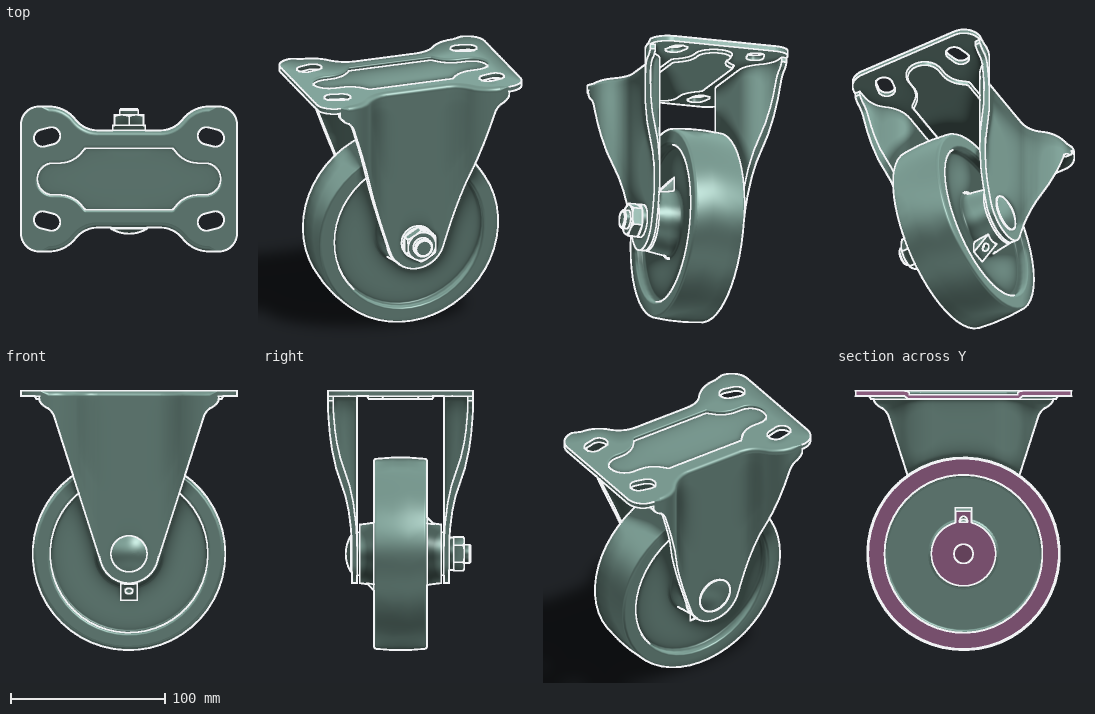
import cadquery as cq
import math


PLATE_LENGTH = 140.0
PLATE_WIDTH = 94.0
SHEET = 3.5
PLATE_CORNER_RADIUS = 12.0
BEND_RADIUS = SHEET
BEND_END_RADIUS = 0.1

LEG_HALF_LENGTH = PLATE_LENGTH / 2 - PLATE_CORNER_RADIUS
WAVE_OUTER_X = 52.0
WAVE_INFLECTION_X = 34.6
WAVE_INNER_X = 20.4
WAIST_Y = 31.5
EDGE_Y = PLATE_WIDTH / 2

LEG_TIP_RADIUS = 19.0
LEG_SHOULDER = (LEG_HALF_LENGTH, -6.5)
LEG_SHOULDER_MID = (56.1, -9.0)
LEG_SHOULDER_END = (52.4, -11.4)
LEG_NOTCH_MID = (49.9, -13.9)
LEG_FLANK_TOP = (48.2, -17.5)

SLOT_X = 53.0
SLOT_Y = 27.2
SLOT_WIDTH = 11.0
SLOT_LENGTH = 17.0
SLOT_TILT = 14.0

PANEL_HALF_LENGTH = 61.0
PANEL_HALF_WIDTH = 21.7
PANEL_END_RADIUS = 12.0
PANEL_NECK_X = 44.6
PANEL_NECK_RADIUS = 16.0
PANEL_NECK_ANGLE = 50.0
PANEL_CORNER_RADIUS = 2.8
PANEL_RIM_RADIUS = 1.7
PANEL_DEPTH = 2.5
PANEL_RAISED_HEIGHT = 2.0
PANEL_TAPER = 30.0

WHEEL_RADIUS = 62.5
TOTAL_HEIGHT = 168.0
AXLE_Z = WHEEL_RADIUS - TOTAL_HEIGHT
TREAD_HALF_WIDTH = 17.25
TREAD_SHOULDER_RADIUS = 61.6
TREAD_ROUNDING = 2.0
RIM_RADIUS = 51.0
RIM_ROUNDING = 2.0
WEB_FILLET = 2.0
WEB_HALF_THICKNESS = 11.0
HUB_TIP_RADIUS = 19.0
HUB_ROOT_RADIUS = 21.0
HUB_HALF_LENGTH = 26.5
BEARING_RADIUS = 14.0
BEARING_HALF_LENGTH = WAIST_Y - SHEET

LUG_WIDTH = 10.4
LUG_RAMP_SUM = 40.9
LUG_HOLE_DIAMETER = 5.0
LUG_HOLE_DEPTH = 5.0
LUG_HOLE_DROP = 24.1

AXLE_RADIUS = 6.0
HEAD_RADIUS = 11.7
HEAD_RIM = 0.7
HEAD_TIP_Y = -35.5
WASHER_RADIUS = 10.6
WASHER_THICKNESS = 3.1
NUT_ACROSS_FLATS = 19.0
NUT_THICKNESS = 6.8
NUT_CHAMFER_LENGTH = 0.8
NUT_CHAMFER_DEPTH = 1.4
AXLE_END_Y = 45.3
AXLE_END_CHAMFER = 0.8


def mirror_copy(body, plane):
    """The body joined to its mirror image."""
    return body.union(body.mirror(plane))


def axle_bore():
    """Cylinder that clears the axle through the bracket and the wheel."""
    return (
        cq.Workplane("XZ", origin=(0, 0, AXLE_Z))
        .circle(AXLE_RADIUS)
        .extrude(PLATE_WIDTH, both=True)
    )




def half_wave(inset=0.0):
    """Open plan path of half the +Y waisted edge, from X = 0 outwards, moved in by inset."""
    chord_angle = math.atan2(EDGE_Y - WAIST_Y, WAVE_OUTER_X - WAVE_INNER_X)
    inflection_y = WAIST_Y + (WAVE_INFLECTION_X - WAVE_INNER_X) * math.tan(chord_angle)
    inflection = (
        WAVE_INFLECTION_X + inset * math.sin(2 * chord_angle),
        inflection_y - inset * math.cos(2 * chord_angle),
    )
    return (
        cq.Workplane("XY")
        .moveTo(0, WAIST_Y - inset)
        .lineTo(WAVE_INNER_X, WAIST_Y - inset)
        .tangentArcPoint(inflection, relative=False)
        .tangentArcPoint((WAVE_OUTER_X, EDGE_Y - inset), relative=False)
    )


def waisted_block(height, inset=0.0):
    """Block hanging below Z = 0 from the X axis to the waisted edge."""
    return (
        half_wave(inset)
        .lineTo(LEG_HALF_LENGTH, EDGE_Y - inset)
        .lineTo(LEG_HALF_LENGTH, 0)
        .lineTo(0, 0)
        .mirrorY()
        .extrude(-height)
    )


def flat_plate():
    blank = (
        cq.Workplane("XY")
        .rect(PLATE_LENGTH, PLATE_WIDTH)
        .extrude(-SHEET)
        .edges("|Z")
        .fillet(PLATE_CORNER_RADIUS)
    )
    middle = cq.Workplane("XY").rect(2 * LEG_HALF_LENGTH, PLATE_WIDTH).extrude(-SHEET)
    waist = mirror_copy(waisted_block(SHEET), "XZ")
    return blank.cut(middle.cut(waist))


def leg_outline():
    """Tapering side outline of the legs, as a prism reaching through both of them."""
    flank_x, flank_z = LEG_FLANK_TOP
    flank_height = flank_z - AXLE_Z
    flank_distance = math.hypot(flank_x, flank_height)
    tangent_angle = math.atan2(flank_height, flank_x) - math.acos(LEG_TIP_RADIUS / flank_distance)
    tangent_point = (
        LEG_TIP_RADIUS * math.cos(tangent_angle),
        AXLE_Z + LEG_TIP_RADIUS * math.sin(tangent_angle),
    )
    return (
        cq.Workplane("XZ")
        .moveTo(0, 0)
        .lineTo(LEG_HALF_LENGTH, 0)
        .lineTo(*LEG_SHOULDER)
        .threePointArc(LEG_SHOULDER_MID, LEG_SHOULDER_END)
        .threePointArc(LEG_NOTCH_MID, LEG_FLANK_TOP)
        .lineTo(*tangent_point)
        .tangentArcPoint((0, AXLE_Z - LEG_TIP_RADIUS), relative=False)
        .mirrorY()
        .extrude(PLATE_WIDTH, both=True)
    )


def legs():
    height = LEG_TIP_RADIUS - AXLE_Z
    leg = waisted_block(height).cut(waisted_block(height, SHEET))
    return mirror_copy(leg.intersect(leg_outline()), "XZ")


def bend_corner(x, y, radius):
    """Section, across X, of the sharp corner that a bend of this radius takes away."""
    return (
        cq.Workplane("YZ", origin=(x, y, 0))
        .lineTo(0, -radius)
        .radiusArc((-radius, 0), -radius)
        .close()
    )


def bend_waste():
    """Material outside the bends along both waisted edges, running out at the leg ends."""
    along_wave = bend_corner(0, WAIST_Y, BEND_RADIUS).sweep(half_wave())
    run_out = cq.Workplane(
        cq.Solid.makeLoft(
            [
                bend_corner(WAVE_OUTER_X, EDGE_Y, BEND_RADIUS).val(),
                bend_corner(LEG_HALF_LENGTH, EDGE_Y, BEND_END_RADIUS).val(),
            ],
            True,
        )
    )
    return mirror_copy(mirror_copy(along_wave.union(run_out), "YZ"), "XZ")


def panel_outline(top_z, inset=0.0):
    """Outline of the pressed panel: a wide middle necking down to a rounded tongue at each end."""
    half_width = PANEL_HALF_WIDTH - inset
    end_radius = PANEL_END_RADIUS - inset
    neck_radius = PANEL_NECK_RADIUS + inset
    corner_radius = PANEL_CORNER_RADIUS - inset
    angle = math.radians(PANEL_NECK_ANGLE)

    def neck_point(turn):
        return (
            PANEL_NECK_X - neck_radius * math.sin(turn),
            end_radius + neck_radius * (1 - math.cos(turn)),
        )

    neck_end = neck_point(angle)
    shoulder_x = neck_end[0] - (half_width - neck_end[1]) / math.tan(angle)
    setback = corner_radius * math.tan(angle / 2)
    corner_start = (
        shoulder_x + setback * math.cos(angle),
        half_width - setback * math.sin(angle),
    )
    return (
        cq.Workplane("XY", origin=(0, 0, top_z))
        .moveTo(PANEL_HALF_LENGTH - inset, 0)
        .radiusArc((PANEL_HALF_LENGTH - PANEL_END_RADIUS, end_radius), -end_radius)
        .lineTo(PANEL_NECK_X, end_radius)
        .threePointArc(neck_point(angle / 2), neck_end)
        .lineTo(*corner_start)
        .radiusArc((shoulder_x - setback, half_width), -corner_radius)
        .lineTo(0, half_width)
        .mirrorY()
        .mirrorX()
    )


def press_panel(body):
    """Sink the panel into the plate with a rounded rim and raise it on the underside."""
    raised = panel_outline(-SHEET).extrude(-PANEL_RAISED_HEIGHT, taper=PANEL_TAPER)
    sunk = panel_outline(0, PANEL_RIM_RADIUS).extrude(-PANEL_DEPTH)
    rim = cq.selectors.BoxSelector(
        (-PANEL_HALF_LENGTH, -PANEL_HALF_WIDTH, -PANEL_RIM_RADIUS / 2),
        (PANEL_HALF_LENGTH, PANEL_HALF_WIDTH, PANEL_RIM_RADIUS / 2),
    )
    return body.union(raised).cut(sunk).edges(rim).fillet(PANEL_RIM_RADIUS)


def mounting_slots():
    slots = cq.Workplane("XY")
    for side_x in (-1, 1):
        for side_y in (-1, 1):
            slot = (
                cq.Workplane("XY")
                .center(side_x * SLOT_X, side_y * SLOT_Y)
                .slot2D(SLOT_LENGTH, SLOT_WIDTH, -side_x * side_y * SLOT_TILT)
                .extrude(-SHEET)
            )
            slots = slots.add(slot)
    return slots.combine()


def make_bracket():
    body = flat_plate().union(legs())
    body = body.cut(bend_waste())
    body = press_panel(body)
    body = body.cut(mounting_slots())
    return body.cut(axle_bore())




def wheel_disc():
    """Turned wheel: crowned tread, recessed web, tapered hub and bearing ends."""
    shoulder_y = TREAD_HALF_WIDTH - TREAD_ROUNDING
    disc_section = (
        cq.Workplane("XY")
        .lineTo(0, BEARING_HALF_LENGTH)
        .lineTo(BEARING_RADIUS, BEARING_HALF_LENGTH)
        .lineTo(BEARING_RADIUS, HUB_HALF_LENGTH)
        .lineTo(HUB_TIP_RADIUS, HUB_HALF_LENGTH)
        .lineTo(HUB_ROOT_RADIUS, WEB_HALF_THICKNESS + WEB_FILLET)
        .radiusArc((HUB_ROOT_RADIUS + WEB_FILLET, WEB_HALF_THICKNESS), -WEB_FILLET)
        .lineTo(RIM_RADIUS - WEB_FILLET, WEB_HALF_THICKNESS)
        .radiusArc((RIM_RADIUS, WEB_HALF_THICKNESS + WEB_FILLET), -WEB_FILLET)
        .lineTo(RIM_RADIUS, TREAD_HALF_WIDTH - RIM_ROUNDING)
        .radiusArc((RIM_RADIUS + RIM_ROUNDING, TREAD_HALF_WIDTH), RIM_ROUNDING)
        .lineTo(TREAD_SHOULDER_RADIUS - TREAD_ROUNDING, TREAD_HALF_WIDTH)
        .radiusArc((TREAD_SHOULDER_RADIUS, shoulder_y), TREAD_ROUNDING)
        .lineTo(TREAD_SHOULDER_RADIUS, 0)
        .mirrorX()
    )
    crown_base = RIM_RADIUS + RIM_ROUNDING
    crown_section = (
        cq.Workplane("XY")
        .moveTo(crown_base, -shoulder_y)
        .lineTo(TREAD_SHOULDER_RADIUS, -shoulder_y)
        .threePointArc((WHEEL_RADIUS, 0), (TREAD_SHOULDER_RADIUS, shoulder_y))
        .lineTo(crown_base, shoulder_y)
        .close()
    )
    disc = disc_section.revolve(360, (0, 0), (0, 1))
    crown = crown_section.revolve(360, (0, 0), (0, 1))
    return disc.union(crown).translate((0, 0, AXLE_Z))


def grease_lug():
    """Lug below the hub on the -Y side, with a 45 degree ramp and a blind hole square to it."""
    ramp_start_y = LUG_RAMP_SUM - HUB_TIP_RADIUS
    ramp_end_radius = LUG_RAMP_SUM - WEB_HALF_THICKNESS
    lug = (
        cq.Workplane("YZ", origin=(0, 0, AXLE_Z))
        .moveTo(0, -HUB_TIP_RADIUS)
        .lineTo(-ramp_start_y, -HUB_TIP_RADIUS)
        .lineTo(-WEB_HALF_THICKNESS, -ramp_end_radius)
        .lineTo(0, -ramp_end_radius)
        .close()
        .extrude(LUG_WIDTH / 2, both=True)
    )
    mouth = cq.Vector(0, LUG_HOLE_DROP - LUG_RAMP_SUM, AXLE_Z - LUG_HOLE_DROP)
    hole = cq.Solid.makeCylinder(LUG_HOLE_DIAMETER / 2, LUG_HOLE_DEPTH, mouth, cq.Vector(0, 1, 1))
    return lug, cq.Workplane(hole)


def make_wheel():
    body = wheel_disc()
    lug, hole = grease_lug()
    axle_start = (0, 0, AXLE_Z)
    axle_end = (1, 0, AXLE_Z)
    for turn in (0, 180):
        body = body.union(lug.rotate(axle_start, axle_end, turn))
        body = body.cut(hole.rotate(axle_start, axle_end, turn))
    return body.cut(axle_bore())




def make_axle():
    """Bolt with domed head, carrying its washer and nut on the +Y end."""
    nut_y = WAIST_Y + WASHER_THICKNESS
    nut_end_y = nut_y + NUT_THICKNESS
    turned = (
        cq.Workplane("XY")
        .moveTo(0, HEAD_TIP_Y)
        .radiusArc((HEAD_RADIUS, -WAIST_Y - HEAD_RIM), -dome_radius())
        .lineTo(HEAD_RADIUS, -WAIST_Y)
        .lineTo(AXLE_RADIUS, -WAIST_Y)
        .lineTo(AXLE_RADIUS, WAIST_Y)
        .lineTo(WASHER_RADIUS, WAIST_Y)
        .lineTo(WASHER_RADIUS, nut_y)
        .lineTo(AXLE_RADIUS, nut_y)
        .lineTo(AXLE_RADIUS, AXLE_END_Y - AXLE_END_CHAMFER)
        .lineTo(AXLE_RADIUS - AXLE_END_CHAMFER, AXLE_END_Y)
        .lineTo(0, AXLE_END_Y)
        .close()
        .revolve(360, (0, 0), (0, 1))
        .translate((0, 0, AXLE_Z))
    )
    return turned.union(nut(nut_y, nut_end_y))


def dome_radius():
    """Radius of the bolt head's dome."""
    rise = -WAIST_Y - HEAD_RIM - HEAD_TIP_Y
    return (HEAD_RADIUS ** 2 + rise ** 2) / (2 * rise)


def nut(start_y, end_y):
    """Hexagon nut with flats facing -X and +X and its outer corners turned off."""
    across_corners = NUT_ACROSS_FLATS / math.cos(math.pi / 6)
    hexagon = (
        cq.Workplane("XZ", origin=(0, start_y, AXLE_Z))
        .transformed(rotate=(0, 0, 90))
        .polygon(6, across_corners)
        .extrude(start_y - end_y)
    )
    corner_turning = (
        cq.Workplane("XZ", origin=(0, start_y, AXLE_Z))
        .circle(across_corners / 2)
        .extrude(start_y - end_y)
        .faces(">Y")
        .chamfer(NUT_CHAMFER_LENGTH, NUT_CHAMFER_DEPTH)
    )
    return hexagon.intersect(corner_turning)


bracket = make_bracket()
wheel = make_wheel()
axle = make_axle()

result = cq.Compound.makeCompound([body.solids().val() for body in (bracket, wheel, axle)])